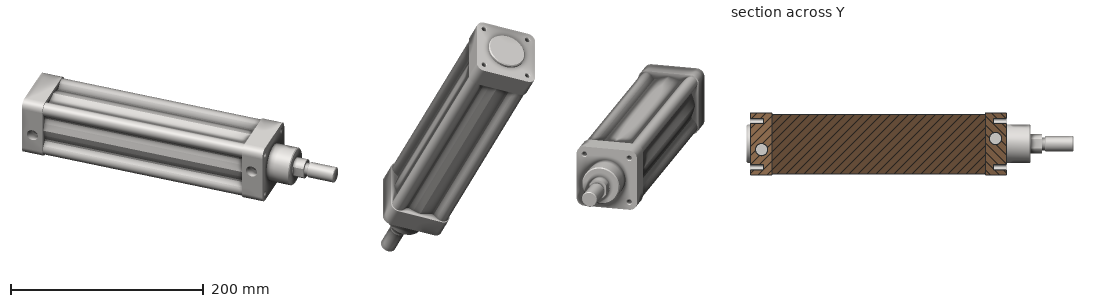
import cadquery as cq
import math


rear_cap_start = 3.5
cap_thickness = 22.7
barrel_length = 221.0
boss_length = 24.7
total_length = 339.0
barrel_start = rear_cap_start + cap_thickness
front_cap_start = barrel_start + barrel_length
front_cap_end = front_cap_start + cap_thickness
boss_end = front_cap_end + boss_length

cap_width = 65.0
cap_corner_radius = 8.5
boss_radius = 20.0
boss_chamfer = 1.0
port_radius = 6.0
port_depth = 12.2
port_offset_z = 5.8
port_from_inner_face = 11.0

corner_spacing = 48.0
screw_hole_radius = 2.5
screw_hole_depth = 13.5
screw_hole_chamfer = 0.7
countersink_angle = 90

side_count = 4
corner_offset = corner_spacing / 2
lobe_radius = 7.0
ridge_peak = 28.8
ridge_knee = 26.8
ridge_foot = 24.7
knee_half_width = 7.5
foot_half_width = 13.0
groove_half_width = 15.0
groove_floor = 25.0
wall_half_width = 19.0
lobe_end_half_width = 19.5

rod_radius = 10.2
rod_shoulder_length = 0.7
flats_length = 11.2
flats_width = 17.5
neck_length = 3.5
neck_radius = 6.8
stud_radius = 8.0
stud_chamfer = 0.7


def cylinder_along_x(start, length, radius):
    return cq.Workplane("YZ", origin=(start, 0, 0)).circle(radius).extrude(length)


def cap_block(start):
    block = cq.Workplane("YZ", origin=(start, 0, 0)).rect(cap_width, cap_width).extrude(cap_thickness)
    return block.edges("|X").fillet(cap_corner_radius)


def port(x, z):
    """Blind cylinder entering a cap from its -Y side."""
    return (
        cq.Workplane("XZ", origin=(x, -cap_width / 2, z))
        .circle(port_radius)
        .extrude(-port_depth)
    )


def with_screw_holes(cap, face):
    """Drill four blind, chamfered screw holes into the given end face of a cap."""
    return (
        cap.faces(face)
        .workplane(origin=(0, 0, 0))
        .rect(corner_spacing, corner_spacing, forConstruction=True)
        .vertices()
        .cskHole(
            2 * screw_hole_radius,
            2 * (screw_hole_radius + screw_hole_chamfer),
            countersink_angle,
            screw_hole_depth,
        )
    )


def make_rear_cap():
    cap = with_screw_holes(cap_block(rear_cap_start), "<X")
    spigot = cylinder_along_x(0, rear_cap_start, boss_radius).faces("<X").chamfer(boss_chamfer)
    return cap.union(spigot).cut(port(barrel_start - port_from_inner_face, -port_offset_z))


def make_front_cap():
    cap = with_screw_holes(cap_block(front_cap_start), ">X")
    boss = cylinder_along_x(front_cap_end, boss_length, boss_radius).faces(">X").chamfer(boss_chamfer)
    return cap.union(boss).cut(port(front_cap_start + port_from_inner_face, port_offset_z))


def quarter_turned(point, turns):
    """Rotate a (y, z) point about the axis by a number of quarter turns."""
    y, z = point
    for _ in range(turns):
        y, z = -z, y
    return y, z


def make_barrel():
    """Four ridged sides joined by round lobes; the groove walls rise at 45 degrees to narrow ledges."""
    lobe_drop = corner_offset - lobe_end_half_width
    lobe_end = corner_offset + math.sqrt(lobe_radius**2 - lobe_drop**2)
    wall_top = groove_floor + wall_half_width - groove_half_width
    half_side = [
        (lobe_end, lobe_end_half_width),
        (wall_top, wall_half_width),
        (groove_floor, groove_half_width),
        (ridge_foot, foot_half_width),
        (ridge_knee, knee_half_width),
    ]
    side = [(y, -z) for y, z in half_side] + [(ridge_peak, 0)] + half_side[::-1]
    lobe_tip_offset = corner_offset + lobe_radius * math.sqrt(0.5)
    lobe_tip = (lobe_tip_offset, lobe_tip_offset)

    outline = cq.Workplane("YZ", origin=(barrel_start, 0, 0)).moveTo(*side[0])
    for turns in range(side_count):
        for point in side[1:]:
            outline = outline.lineTo(*quarter_turned(point, turns))
        outline = outline.threePointArc(
            quarter_turned(lobe_tip, turns),
            quarter_turned(side[0], turns + 1),
        )
    return outline.close().extrude(barrel_length)


def make_rod():
    """Shank with two wrench flats, then a relief neck and a stud chamfered at both ends."""
    flats_start = boss_end + rod_shoulder_length
    neck_start = flats_start + flats_length
    stud_start = neck_start + neck_length
    shoulder = cylinder_along_x(boss_end, rod_shoulder_length, rod_radius)
    flats_outline = cq.Workplane("YZ", origin=(flats_start, 0, 0)).rect(flats_width, 2 * rod_radius)
    flats_envelope = flats_outline.extrude(flats_length)
    flats = cylinder_along_x(flats_start, flats_length, rod_radius).intersect(flats_envelope)
    neck = cylinder_along_x(neck_start, neck_length, neck_radius)
    stud = cylinder_along_x(stud_start, total_length - stud_start, stud_radius).edges().chamfer(stud_chamfer)
    return shoulder.union(flats).union(neck).union(stud)


rear_cap = make_rear_cap()
front_cap = make_front_cap()
barrel = make_barrel()
rod = make_rod()

result = cq.Compound.makeCompound([rear_cap.val(), front_cap.val(), barrel.val(), rod.val()])